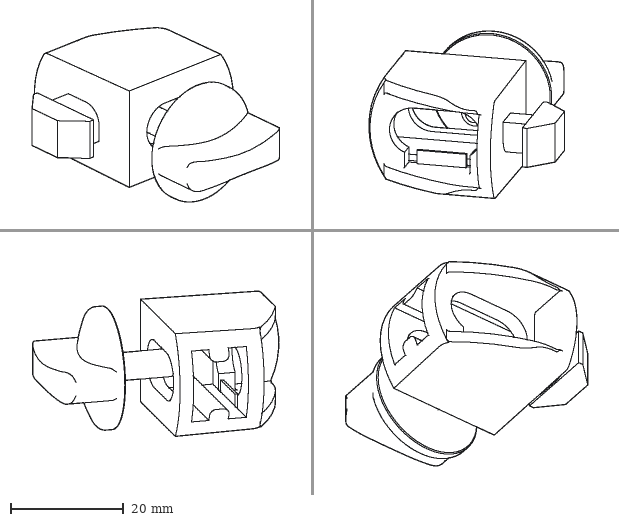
import cadquery as cq
import math


crown_radius = 16.5
bottom_y = -8.5
back_half_width = 9.5
nose_half_width = 9.15
side_straight = 0.3
nose_x = -24.9
nose_edge_fillet = 1.2

front_x = -15.66
front_top_y = 13.35
slope_radius = 46.0
slope_end = (-22.55, -0.45)
lip_back_x = -23.12
lip_arc_end_y = -4.2
lip_top_y = -5.95
lip_corner = 0.75
lip_edge_fillet = 0.42
crown_edge_x = -13.9
crown_edge_radius = 3.0

front_cavity_half_width = 6.87
rear_cavity_half_width = 6.55
front_plate_thickness = 3.06
back_plate_thickness = 2.5
plate_foot_fillet = 0.45
plate_rear_x = front_x + front_plate_thickness

slot_radius = 4.35
slot_low_y = 0.05
slot_high_y = 8.0
notch_low_y = -2.4
notch_high_y = 9.6

rib_width = 3.6
rib_center_x = -7.5
rib_top_z = 4.4
rib_fillet = 1.15

tongue_thickness = 0.5
tongue_low_y = -1.0
tongue_high_y = 8.0

overcut = 1.0

head_center_x = -11.95
head_length = 14.8
head_width = 7.3
head_top_y = -12.9
head_height = 4.95
head_rim = 0.9
neck_length = 8.05
neck_width = 6.5
neck_corner_radius = 3.4

screw_diameter = 5.0
screw_tip_x = -4.0
screw_tip_chamfer = 1.0
screw_foot_fillet = 0.35
knob_radius = 11.0
knob_x = 8.4
knob_back_chamfer = 0.2
knob_rim_end_x = 9.77
dome_start_x = 10.78
dome_start_radius = 10.5
dome_radius = 22.0

overall_length = 45.82
grip_end_x = nose_x + overall_length
grip_end_radius = 35.0
grip_corner_fillet = 3.0
grip_half_thickness = 2.95
grip_edge_y = 9.78
grip_waist_y = 4.2
grip_taper = math.radians(6.1)
grip_edge_fillet = 0.92


def box(x0, x1, y0, y1, z0, z1):
    return cq.Workplane("XY").box(x1 - x0, y1 - y0, z1 - z0, centered=False).translate((x0, y0, z0))


def housing_block():
    """Housing outline seen along Y, with its round nose."""
    nose_center_x = nose_x + crown_radius
    corner_x = nose_center_x - math.sqrt(crown_radius**2 - nose_half_width**2)
    outline = (
        cq.Workplane("XZ", origin=(0, bottom_y, 0))
        .moveTo(0, -back_half_width)
        .lineTo(0, back_half_width)
        .lineTo(-side_straight, back_half_width)
        .lineTo(corner_x, nose_half_width)
        .threePointArc((nose_x, 0), (corner_x, -nose_half_width))
        .lineTo(-side_straight, -back_half_width)
        .close()
    )
    block = outline.extrude(bottom_y - crown_radius)
    return block.edges("|Y").edges("<X").fillet(nose_edge_fillet)


def crown():
    """Round bar about the screw axis that gives the housing its round top."""
    edge_center_y = crown_radius - crown_edge_radius
    edge_angle = math.asin((crown_edge_x - front_x) / crown_edge_radius)
    edge_end_y = edge_center_y + crown_edge_radius * math.cos(edge_angle)
    edge_middle = (
        crown_edge_x - crown_edge_radius * math.sin(edge_angle / 2),
        edge_center_y + crown_edge_radius * math.cos(edge_angle / 2),
    )
    return (
        cq.Workplane("XY")
        .moveTo(0, 0)
        .lineTo(0, crown_radius)
        .lineTo(crown_edge_x, crown_radius)
        .threePointArc(edge_middle, (front_x, edge_end_y))
        .lineTo(nose_x, edge_end_y)
        .lineTo(nose_x, 0)
        .close()
        .revolve(360, (0, 0, 0), (1, 0, 0))
    )


def front_profile():
    """Side profile of the housing: sloping front, lip at the nose."""
    chord = (slope_end[0] - front_x, slope_end[1] - front_top_y)
    chord_length = math.hypot(*chord)
    bulge = slope_radius - math.sqrt(slope_radius**2 - chord_length**2 / 4)
    slope_middle = (
        front_x + chord[0] / 2 + bulge * chord[1] / chord_length,
        front_top_y + chord[1] / 2 - bulge * chord[0] / chord_length,
    )
    return (
        cq.Workplane("XY", origin=(0, 0, -back_half_width))
        .moveTo(0, bottom_y)
        .lineTo(0, crown_radius)
        .lineTo(front_x, crown_radius)
        .lineTo(front_x, front_top_y)
        .threePointArc(slope_middle, slope_end)
        .tangentArcPoint((lip_back_x, lip_arc_end_y), relative=False)
        .lineTo(lip_back_x, lip_top_y + lip_corner)
        .tangentArcPoint((lip_back_x - lip_corner, lip_top_y), relative=False)
        .lineTo(nose_x, lip_top_y)
        .lineTo(nose_x, bottom_y)
        .close()
        .extrude(2 * back_half_width)
    )


def lip_edge_rounding():
    """Material to remove along the curved top edge of the lip, across the width of the cavity."""
    r = lip_edge_fillet
    nose_center_x = nose_x + crown_radius
    ring = (
        cq.Workplane("XY", origin=(nose_center_x, lip_top_y, 0))
        .moveTo(-crown_radius, -r)
        .radiusArc((r - crown_radius, 0), r)
        .lineTo(r - crown_radius, r)
        .lineTo(-crown_radius - r, r)
        .lineTo(-crown_radius - r, -r)
        .close()
        .revolve(360, (0, 0, 0), (0, 1, 0))
    )
    w = front_cavity_half_width
    return ring.intersect(box(nose_x - overcut, nose_center_x, bottom_y, 0, -w, w))


def front_cavity():
    """Open space ahead of the front plate; its rounded rear edges leave fillets along the walls."""
    w = front_cavity_half_width
    cavity = box(nose_x - overcut, front_x, lip_top_y, crown_radius + overcut, -w, w)
    return cavity.faces(">X").edges("|Y").fillet(plate_foot_fillet)


def rear_cavity():
    w = rear_cavity_half_width
    return box(plate_rear_x, -back_plate_thickness, lip_top_y, crown_radius + overcut, -w, w)


def screw_slot():
    return (
        cq.Workplane("YZ", origin=(front_x, 0, 0))
        .center((slot_low_y + slot_high_y) / 2, 0)
        .slot2D(slot_high_y - slot_low_y + 2 * slot_radius, 2 * slot_radius)
        .extrude(-front_x)
    )


def plate_notch():
    """Notch from the slot to the -Z wall, leaving the thin tongue standing in it."""
    w = front_cavity_half_width
    notch = box(front_x - plate_foot_fillet, plate_rear_x, notch_low_y, notch_high_y, -w, 0)
    tongue_x = plate_rear_x - tongue_thickness
    return notch.cut(box(tongue_x, plate_rear_x, tongue_low_y, tongue_high_y, -w, -slot_radius))


def guide_ribs():
    x0 = rib_center_x - rib_width / 2
    rib = box(x0, x0 + rib_width, lip_top_y, crown_radius, -rear_cavity_half_width, -rib_top_z)
    rib = rib.edges("|Y and >Z").fillet(rib_fillet).intersect(crown())
    return rib.union(rib.mirror("XY"))


def hammer_head():
    slope = head_height - head_rim
    half = head_length / 2
    return (
        cq.Workplane("XY", origin=(head_center_x, head_top_y, -head_width / 2))
        .moveTo(-half, 0)
        .lineTo(half, 0)
        .lineTo(half, -head_rim)
        .lineTo(half - slope, -head_height)
        .lineTo(slope - half, -head_height)
        .lineTo(-half, -head_rim)
        .close()
        .extrude(head_width)
    )


def hammer_neck():
    """Neck with two opposite corners rounded, so that the head can turn in its groove."""
    x0 = head_center_x - neck_length / 2
    half = neck_width / 2
    neck = box(x0, x0 + neck_length, head_top_y, bottom_y, -half, half)
    return neck.edges(">(1, 0, 1) or <(1, 0, 1)").fillet(neck_corner_radius)


def make_housing():
    housing = housing_block().intersect(crown()).intersect(front_profile())
    housing = housing.cut(front_cavity()).cut(rear_cavity()).cut(lip_edge_rounding())
    housing = housing.cut(screw_slot()).cut(plate_notch())
    return housing.union(guide_ribs()).union(hammer_neck()).union(hammer_head())


def screw_and_knob():
    """Turned part of the thumb screw: tip, shank, disc and dome."""
    r = screw_diameter / 2
    dome_center_x = dome_start_x - math.sqrt(dome_radius**2 - dome_start_radius**2)
    half_angle = math.asin(dome_start_radius / dome_radius) / 2
    dome_middle = (
        dome_center_x + dome_radius * math.cos(half_angle),
        dome_radius * math.sin(half_angle),
    )
    return (
        cq.Workplane("XY")
        .moveTo(screw_tip_x, 0)
        .lineTo(screw_tip_x, r - screw_tip_chamfer)
        .lineTo(screw_tip_x + screw_tip_chamfer, r)
        .lineTo(knob_x - screw_foot_fillet, r)
        .tangentArcPoint((knob_x, r + screw_foot_fillet), relative=False)
        .lineTo(knob_x, knob_radius - knob_back_chamfer)
        .lineTo(knob_x + knob_back_chamfer, knob_radius)
        .lineTo(knob_rim_end_x, knob_radius)
        .tangentArcPoint((dome_start_x, dome_start_radius), relative=False)
        .threePointArc(dome_middle, (dome_center_x + dome_radius, 0))
        .close()
        .revolve(360, (0, 0, 0), (1, 0, 0))
    )


def grip():
    """Flat grip with a hollow waist on both faces, an arched end and rounded edges."""
    waist_radius = grip_waist_y / math.sin(grip_taper)
    waist_z = grip_half_thickness - (grip_edge_y - grip_waist_y) * math.tan(grip_taper)
    middle_z = waist_z - waist_radius * (1 - math.cos(grip_taper))
    outer_z = waist_z + (knob_radius - grip_waist_y) * math.tan(grip_taper)
    section = (
        cq.Workplane("YZ", origin=(knob_rim_end_x, 0, 0))
        .moveTo(-knob_radius, outer_z)
        .lineTo(-grip_waist_y, waist_z)
        .threePointArc((0, middle_z), (grip_waist_y, waist_z))
        .lineTo(knob_radius, outer_z)
        .lineTo(knob_radius, -outer_z)
        .lineTo(grip_waist_y, -waist_z)
        .threePointArc((0, -middle_z), (-grip_waist_y, -waist_z))
        .lineTo(-knob_radius, -outer_z)
        .close()
    )
    length = grip_end_x - knob_rim_end_x
    bar = section.extrude(length)
    round_bar = cq.Workplane("YZ", origin=(knob_rim_end_x, 0, 0)).circle(knob_radius).extrude(length)
    bar = bar.intersect(round_bar)
    long_edges = bar.edges("|X").filter(lambda edge: abs(edge.Center().y) > grip_edge_y)
    bar = long_edges.fillet(grip_edge_fillet)

    corner_x = grip_end_x - grip_end_radius + math.sqrt(grip_end_radius**2 - knob_radius**2)
    outline = (
        cq.Workplane("XY", origin=(0, 0, -outer_z))
        .moveTo(knob_rim_end_x, -knob_radius)
        .lineTo(corner_x, -knob_radius)
        .threePointArc((grip_end_x, 0), (corner_x, knob_radius))
        .lineTo(knob_rim_end_x, knob_radius)
        .close()
        .extrude(2 * outer_z)
    )
    outline = outline.edges("|Z and (not <X)").fillet(grip_corner_fillet)
    return bar.intersect(outline)


def make_thumb_screw():
    return screw_and_knob().union(grip())


housing = make_housing()
thumb_screw = make_thumb_screw()

result = cq.Compound.makeCompound([housing.val(), thumb_screw.val()])